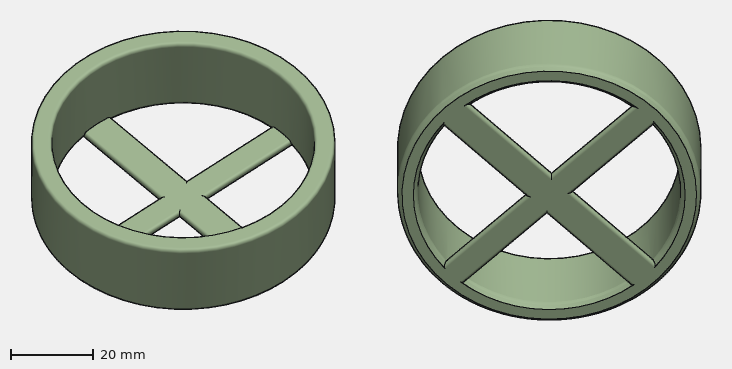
import cadquery as cq

outer_diameter = 74.0
inner_diameter = 64.0
height = 22.0
rim_fillet = 1.0

bottom_chamfer = 1.1
blend_radius = 1.1

bar_x_width = 8.5
bar_y_width = 7.0
bar_thickness = 2.0
bar_fillet = 0.8

outer_radius = outer_diameter / 2
inner_radius = inner_diameter / 2


def make_ring():
    ring = cq.Workplane("XY").circle(outer_radius).circle(inner_radius).extrude(height)
    ring = ring.faces(">Z").edges().fillet(rim_fillet)
    ring = ring.faces("<Z").edges().chamfer(bottom_chamfer)
    blend_zone = cq.selectors.BoxSelector(
        (-outer_radius, -outer_radius, bottom_chamfer / 2),
        (outer_radius, outer_radius, bottom_chamfer * 2),
    )
    return ring.edges("%CIRCLE").edges(blend_zone).fillet(blend_radius)


def make_cross():
    length = (outer_diameter + inner_diameter) / 2
    bar_along_x = cq.Workplane("XY").rect(length, bar_x_width).extrude(bar_thickness)
    bar_along_y = cq.Workplane("XY").rect(bar_y_width, length).extrude(bar_thickness)
    cross = bar_along_x.union(bar_along_y)
    cross = cross.faces(">Z").edges().fillet(bar_fillet)
    return cross.faces("<Z").edges().fillet(bar_fillet)


result = make_ring().union(make_cross())